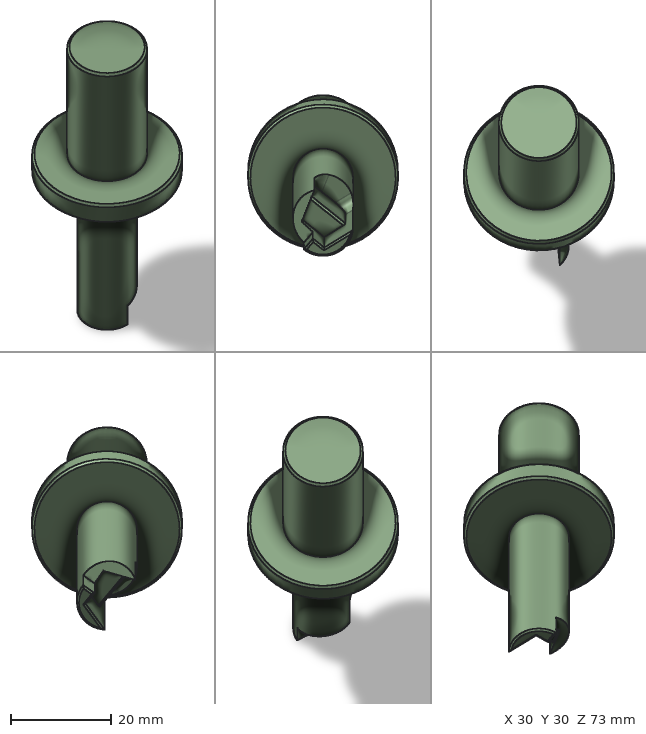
import cadquery as cq
import math

stem_diameter = 12.0
stem_radius = stem_diameter / 2
stem_length = 38.5
collar_diameter = 30.0
collar_thickness = 5.0
handle_diameter = 16.0
total_height = 73.0
handle_length = total_height - stem_length - collar_thickness
edge_chamfer = 0.5

groove_top = 18.8
groove_mouth_half_width = 5.0
groove_floor_half_width = 2.9
groove_wall_angle = 18.0
groove_corner_radius = 2.6
mouth_x = -math.sqrt(stem_radius**2 - groove_mouth_half_width**2)
wall_slope = math.tan(math.radians(groove_wall_angle))
floor_x = mouth_x + (groove_mouth_half_width - groove_floor_half_width) / wall_slope

shoulder_inner_z = 5.5
shoulder_angle = 20.0
tip_chamfer = 0.4

insert_face_x = -1.65
insert_bottom = 8.5
insert_chamfer = 0.5

clearance = 2.0
groove_outer_x = -stem_radius - clearance


def groove_half_width(x):
    """Half width of the tapered groove at a given X."""
    return groove_floor_half_width + (floor_x - x) * wall_slope


def tapered_block(outer_x, bottom_z):
    """Block with the groove's tapered section and rounded top corners, from outer_x in to the floor."""
    outer_half_width = groove_half_width(outer_x)
    return (
        cq.Workplane("XY")
        .workplane(offset=bottom_z)
        .moveTo(outer_x, -outer_half_width)
        .lineTo(floor_x, -groove_floor_half_width)
        .lineTo(floor_x, groove_floor_half_width)
        .lineTo(outer_x, outer_half_width)
        .close()
        .extrude(groove_top - bottom_z)
        .faces(">Z")
        .edges("not |Y")
        .fillet(groove_corner_radius)
    )


def make_tip_cutter():
    """Cutter that removes the +Y half of the tip below the sloped shoulder."""
    reach = stem_radius + clearance
    shoulder_outer_z = shoulder_inner_z + reach * math.tan(math.radians(shoulder_angle))
    return (
        cq.Workplane("YZ")
        .moveTo(0, -clearance)
        .lineTo(reach, -clearance)
        .lineTo(reach, shoulder_outer_z)
        .lineTo(0, shoulder_inner_z)
        .close()
        .extrude(reach, both=True)
    )


def make_holder():
    """Handle, collar and stem in one piece, with the groove and the half-cut tip."""
    stem = cq.Workplane("XY").circle(stem_radius).extrude(stem_length)
    collar = cq.Workplane("XY").workplane(offset=stem_length)
    collar = collar.circle(collar_diameter / 2).extrude(collar_thickness)
    collar = collar.edges().chamfer(edge_chamfer)
    handle = cq.Workplane("XY").workplane(offset=stem_length + collar_thickness)
    handle = handle.circle(handle_diameter / 2).extrude(handle_length)
    handle = handle.faces(">Z").chamfer(edge_chamfer)
    holder = stem.union(collar).union(handle)
    holder = holder.cut(tapered_block(groove_outer_x, -clearance))
    holder = holder.cut(make_tip_cutter())
    return holder.faces("<Z").edges().chamfer(tip_chamfer).solids()


def make_insert():
    """Wedge filling the back of the groove, with its lower -X edge chamfered."""
    insert = tapered_block(insert_face_x, insert_bottom)
    return insert.faces("<X").edges("<Z").chamfer(insert_chamfer).solids()


holder = make_holder()
insert = make_insert()

result = cq.Compound.makeCompound([holder.val(), insert.val()])